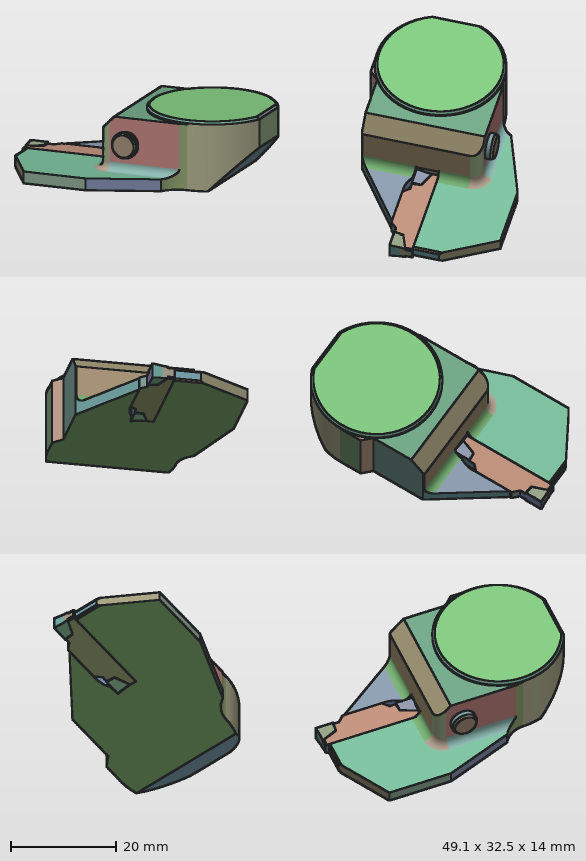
import cadquery as cq
import math

disc_radius = 12.5
disc_x = 37.5
disc_top = 13.75
disc_chamfer = 0.5
flat_x = 49.1
heel_height = 7.65

block_top = 13.0
block_left = 19.6
block_front = -12.75
block_back = 10.75
block_chamfer = 2.95
corner_radius = 2.05
root_radius = 1.6
oversize = 4.9
stop_left = 31.15

blade_thickness = 2.35
blade_left = 0.8
blade_front = -20.0
blade_edge_chamfer = 0.35
left_corner_y = -9.55
front_left_x = 6.9
front_right_x = 19.65
shoulder_x = 33.2
shoulder_y = -15.05
back_corner_x = 19.85
blade_tip_x = 6.4

pin_diameter = 5.0
pin_x = 25.0
pin_z = 7.75
pin_length = 1.5
pin_chamfer_length = 0.5
pin_chamfer_depth = 0.3

insert_length = 20.05
insert_front = -4.4
insert_back = 1.25
end_bend_y = -2.0
end_relief = 0.2
end_chamfer = 0.3
hump_foot_x = 4.8
hump_top_x = 6.0
tip_rise = 0.35
tip_drop = 0.25
tip_length = 3.6
tip_side_length = 3.45
tip_side_y = -1.8
tip_point_y = -3.1

seat_top = 3.75
seat_arc_x = 14.85
seat_arc_end_x = 17.9
seat_arc_end_y = 0.3


def mirror_end(x):
    """Matching X position at the other end of the insert."""
    return insert_length - x


def make_blade_outline():
    run = disc_x - shoulder_x
    drop = -disc_radius - shoulder_y
    runout_radius = (run**2 + drop**2) / (2 * drop)
    half_angle = math.atan2(drop, run)
    runout_mid = (
        disc_x - runout_radius * math.sin(half_angle),
        -disc_radius - runout_radius * (1 - math.cos(half_angle)),
    )
    return (
        cq.Workplane("XY")
        .moveTo(disc_x, -disc_radius)
        .threePointArc(runout_mid, (shoulder_x, shoulder_y))
        .lineTo(front_right_x, blade_front)
        .lineTo(front_left_x, blade_front)
        .lineTo(blade_left, left_corner_y)
        .lineTo(blade_left, insert_back)
        .lineTo(blade_tip_x, insert_back)
        .lineTo(back_corner_x, block_back)
        .lineTo(disc_x, block_back)
        .close()
        .extrude(disc_top)
    )


def make_block_and_blade():
    block_length = disc_x + oversize - block_left
    block_width = block_back + oversize - block_front
    blade_length = disc_x + 2 * oversize
    blade_width = block_back + 2 * oversize - blade_front
    blade = (
        cq.Workplane("XY")
        .box(blade_length, blade_width, blade_thickness, centered=False)
        .translate((0, blade_front, 0))
    )
    block = (
        cq.Workplane("XY")
        .box(block_length, block_width, block_top, centered=False)
        .translate((block_left, block_front, 0))
    )
    block = block.edges("|Z and <X and <Y").fillet(corner_radius)
    slope = (
        cq.Workplane("XZ")
        .polyline([
            (block_left, block_top - block_chamfer),
            (block_left + block_chamfer, block_top),
            (block_left, block_top),
        ])
        .close()
        .extrude(block_width, both=True)
    )
    block = block.cut(slope)
    body = blade.union(block)

    blade_face = cq.selectors.NearestToPointSelector((block_left / 2, 0, blade_thickness))
    body = body.faces("|Z").faces(blade_face).edges("not(<X or >X or <Y or >Y)").fillet(root_radius)
    body = body.intersect(make_blade_outline())
    return body.edges("|Y and <X").chamfer(blade_edge_chamfer)


def make_disc():
    disc = cq.Workplane("XY").center(disc_x, 0).circle(disc_radius).extrude(disc_top)
    past_flat = cq.Workplane("XY").box(
        disc_radius, 2 * disc_radius, disc_top, centered=(False, True, False)
    ).translate((flat_x, 0, 0))
    disc = disc.cut(past_flat)
    disc = disc.faces(">Z").edges().chamfer(disc_chamfer)
    heel = (
        cq.Workplane("XZ")
        .polyline([(flat_x - heel_height, 0), (flat_x, 0), (flat_x, heel_height)])
        .close()
        .extrude(disc_radius, both=True)
    )
    return disc.cut(heel)


def make_stop():
    rise = disc_radius - block_back
    return (
        cq.Workplane("XY")
        .polyline([
            (stop_left, block_back),
            (stop_left + rise, disc_radius),
            (disc_x, disc_radius),
            (disc_x, block_back),
        ])
        .close()
        .extrude(block_top)
    )


def make_pin():
    pin = (
        cq.Workplane("XZ", origin=(pin_x, block_front, pin_z))
        .circle(pin_diameter / 2)
        .extrude(pin_length)
    )
    return pin.faces("<Y").chamfer(pin_chamfer_length, pin_chamfer_depth)


def make_seat():
    """Through slot for the insert, open at its -X end and over the insert."""
    chord_angle = math.atan2(insert_back - seat_arc_end_y, seat_arc_end_x - seat_arc_x)
    arc_radius = (seat_arc_end_x - seat_arc_x) / math.sin(2 * chord_angle)
    arc_mid = (
        seat_arc_x + arc_radius * math.sin(chord_angle),
        insert_back - arc_radius * (1 - math.cos(chord_angle)),
    )
    return (
        cq.Workplane("XY")
        .moveTo(0, insert_front)
        .lineTo(0, insert_back)
        .lineTo(seat_arc_x, insert_back)
        .threePointArc(arc_mid, (seat_arc_end_x, seat_arc_end_y))
        .lineTo(mirror_end(0), 0)
        .lineTo(mirror_end(end_relief), end_bend_y)
        .lineTo(mirror_end(end_relief), insert_front)
        .close()
        .extrude(seat_top)
    )


def make_holder():
    body = make_block_and_blade().union(make_disc()).union(make_stop())
    return body.union(make_pin()).cut(make_seat())


def make_tip():
    """Cutting tip at the -X end: a wedge that is thickest along y = 0."""
    plan = (
        cq.Workplane("XY", origin=(0, 0, -tip_drop))
        .polyline([
            (0, 0),
            (tip_length, 0),
            (tip_side_length, tip_side_y),
            (end_relief, tip_point_y),
            (end_relief, end_bend_y),
        ])
        .close()
        .extrude(tip_drop + blade_thickness + tip_rise)
    )
    wedge = (
        cq.Workplane("YZ")
        .polyline([
            (0, -tip_drop),
            (0, blade_thickness + tip_rise),
            (tip_point_y, blade_thickness),
            (tip_point_y, 0),
        ])
        .close()
        .extrude(tip_length)
    )
    return plan.intersect(wedge)


def make_insert():
    left_half = [
        (end_relief, insert_front),
        (end_relief, end_bend_y),
        (0, 0),
        (hump_foot_x, 0),
        (hump_top_x, insert_back),
    ]
    right_half = [(mirror_end(x), y) for x, y in reversed(left_half)]
    body = (
        cq.Workplane("XY")
        .polyline(left_half + right_half)
        .close()
        .extrude(blade_thickness)
    )
    bevel_profile = [(end_relief, 0), (end_relief + end_chamfer, 0), (end_relief, end_chamfer)]
    bevel = (
        cq.Workplane("XZ", origin=(0, insert_front, 0))
        .polyline(bevel_profile)
        .close()
        .extrude(insert_front - end_bend_y)
    )
    middle = (0, 0, blade_thickness / 2)
    body = body.cut(bevel).cut(bevel.mirror("XY", middle))

    tip = make_tip()
    far_tip = tip.mirror("YZ", (insert_length / 2, 0, 0))
    return body.union(tip).union(far_tip)


holder = make_holder()
insert = make_insert()
result = cq.Compound.makeCompound([holder.val(), insert.val()])